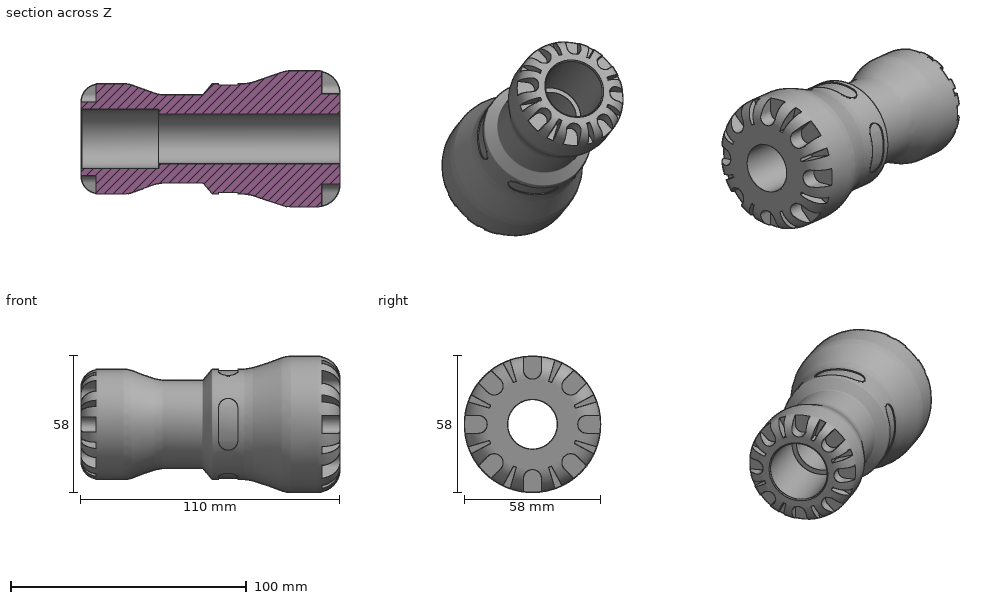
import cadquery as cq
import math

LENGTH = 110.0
SMALL_END_RADIUS = 47.0 / 2
NECK_RADIUS = 37.6 / 2
COLLAR_RADIUS = SMALL_END_RADIUS
LARGE_END_RADIUS = 58.0 / 2

SMALL_CONE_START = 20.0
SMALL_CONE_END = 33.0
COLLAR_START = 51.8
COLLAR_CHAMFER_ANGLE = 50.0
LARGE_CONE_START = 71.3
LARGE_CONE_END = 87.2

SMALL_CONE_BLEND = 10.0
LARGE_CONE_BLEND = 12.0
COLLAR_BLEND = 0.5
SMALL_NOSE_ROUND = 7.5
LARGE_NOSE_ROUND = 9.5

BORE_RADIUS = 21.0 / 2
SOCKET_RADIUS = 25.0 / 2
SOCKET_DEPTH = SMALL_CONE_END
SOCKET_CHAMFER = 0.5

GROOVE_COUNT = 8
SLOT_UNDERCUT = 0.3
WEDGE_ANGLE = 11.8
WEDGE_APEX_DROP = 6.3
SMALL_SLOT_WIDTH = 6.3
SMALL_GROOVE_DEPTH = 6.3
LARGE_SLOT_WIDTH = 7.6
LARGE_GROOVE_DEPTH = 7.7

RECESS_COUNT = 4
ACROSS_AXIS = 90.0
RECESS_X = 62.5
RECESS_WIDTH = 8.2
RECESS_LENGTH = 22.0
RECESS_DEPTH = 0.5
RECESS_FLOOR_RADIUS = COLLAR_RADIUS - RECESS_DEPTH

FULL_TURN = 360.0
MATCH_TOLERANCE = 1e-3


def turn(outline):
    """Revolve a closed outline of (x, radius) points about the X axis."""
    return cq.Workplane("XY").polyline(outline).close().revolve(FULL_TURN, (0, 0, 0), (1, 0, 0))


def turned_copies(tool, count, first_angle=0.0):
    """Copies of a tool spaced evenly about the X axis."""
    pitch = FULL_TURN / count
    return [tool.rotate((0, 0, 0), (1, 0, 0), first_angle + index * pitch) for index in range(count)]


def round_rims(body, rims, radius):
    """Round the circular edges found at the given (x, radius) places."""
    edges = []
    for rim_x, rim_radius in rims:
        for edge in body.edges("%CIRCLE").vals():
            at_place = abs(edge.Center().x - rim_x) < MATCH_TOLERANCE
            if at_place and abs(edge.radius() - rim_radius) < MATCH_TOLERANCE:
                edges.append(edge)
    return body.newObject(edges).fillet(radius)


def make_body():
    collar_rise = COLLAR_RADIUS - NECK_RADIUS
    collar_edge = COLLAR_START + collar_rise / math.tan(math.radians(COLLAR_CHAMFER_ANGLE))
    small_nose = (0, SMALL_END_RADIUS)
    small_cone_top = (SMALL_CONE_START, SMALL_END_RADIUS)
    small_cone_foot = (SMALL_CONE_END, NECK_RADIUS)
    collar_foot = (COLLAR_START, NECK_RADIUS)
    collar_top = (collar_edge, COLLAR_RADIUS)
    large_cone_foot = (LARGE_CONE_START, COLLAR_RADIUS)
    large_cone_top = (LARGE_CONE_END, LARGE_END_RADIUS)
    large_nose = (LENGTH, LARGE_END_RADIUS)
    outline = [
        (0, 0),
        small_nose,
        small_cone_top,
        small_cone_foot,
        collar_foot,
        collar_top,
        large_cone_foot,
        large_cone_top,
        large_nose,
        (LENGTH, 0),
    ]
    body = turn(outline)
    body = round_rims(body, [small_cone_top, small_cone_foot], SMALL_CONE_BLEND)
    body = round_rims(body, [collar_foot, collar_top], COLLAR_BLEND)
    body = round_rims(body, [large_cone_foot, large_cone_top], LARGE_CONE_BLEND)
    body = round_rims(body, [small_nose], SMALL_NOSE_ROUND)
    return round_rims(body, [large_nose], LARGE_NOSE_ROUND)


def cut_bore(body):
    mouth_radius = SOCKET_RADIUS + SOCKET_CHAMFER
    profile = [
        (0, 0),
        (0, mouth_radius),
        (SOCKET_CHAMFER, SOCKET_RADIUS),
        (SOCKET_DEPTH, SOCKET_RADIUS),
        (SOCKET_DEPTH, BORE_RADIUS),
        (LENGTH, BORE_RADIUS),
        (LENGTH, 0),
    ]
    return body.cut(turn(profile))


def cut_grooves(body, start_x, depth, end_radius, nose_round, slot_width):
    """Cut alternating round-bottomed slots and tapered wedges, from start_x over depth along +X."""
    ring_radius = end_radius - nose_round
    reach = end_radius + slot_width
    half_width = slot_width / 2
    slot_bottom = ring_radius - SLOT_UNDERCUT
    slot_centre = slot_bottom + half_width
    plane = cq.Workplane("YZ", origin=(start_x, 0, 0))
    slot = (
        plane.moveTo(-half_width, reach)
        .lineTo(-half_width, slot_centre)
        .threePointArc((0, slot_bottom), (half_width, slot_centre))
        .lineTo(half_width, reach)
        .close()
        .extrude(depth)
    )

    apex = ring_radius - WEDGE_APEX_DROP
    half_reach = (reach - apex) * math.tan(math.radians(WEDGE_ANGLE / 2))
    wedge = plane.polyline([(0, apex), (-half_reach, reach), (half_reach, reach)]).close().extrude(depth)
    wedge = wedge.cut(plane.circle(ring_radius).extrude(depth))

    half_pitch = FULL_TURN / GROOVE_COUNT / 2
    tools = turned_copies(slot, GROOVE_COUNT) + turned_copies(wedge, GROOVE_COUNT, half_pitch)
    for tool in tools:
        body = body.cut(tool)
    return body


def cut_recesses(body):
    """Sink shallow rounded-end recesses with cylindrical floors into the collar."""
    recess = (
        cq.Workplane("XY", origin=(RECESS_X, 0, 0))
        .slot2D(RECESS_LENGTH, RECESS_WIDTH, ACROSS_AXIS)
        .extrude(LARGE_END_RADIUS)
    )
    core = cq.Workplane("YZ").circle(RECESS_FLOOR_RADIUS).extrude(LENGTH)
    recess = recess.cut(core)
    for tool in turned_copies(recess, RECESS_COUNT):
        body = body.cut(tool)
    return body


result = make_body()
result = cut_bore(result)
result = cut_grooves(
    result, 0, SMALL_GROOVE_DEPTH, SMALL_END_RADIUS, SMALL_NOSE_ROUND, SMALL_SLOT_WIDTH
)
result = cut_grooves(
    result,
    LENGTH - LARGE_GROOVE_DEPTH,
    LARGE_GROOVE_DEPTH,
    LARGE_END_RADIUS,
    LARGE_NOSE_ROUND,
    LARGE_SLOT_WIDTH,
)
result = cut_recesses(result)